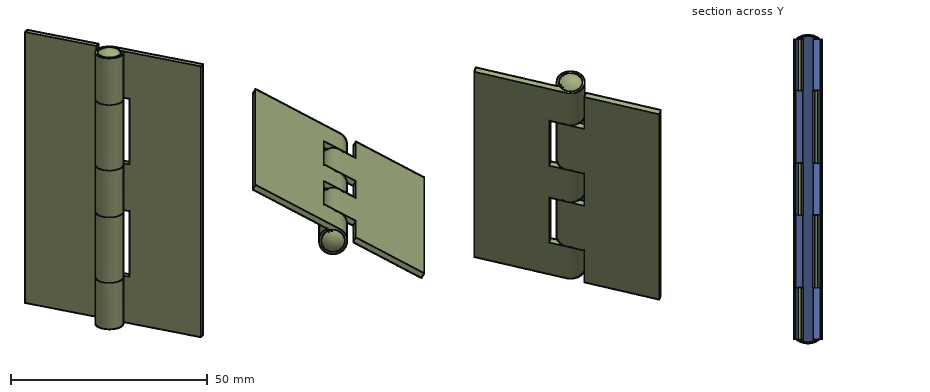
import cadquery as cq
import math

hinge_width = 49.0
leaf_height = 76.2
leaf_thickness = 1.5
knuckle_radius = 3.6
bore_radius = knuckle_radius - leaf_thickness
leaf_edge = 4.6
curl_end_angle = 35

outer_knuckle_height = 13.1
middle_knuckle_height = 13.2
left_knuckle_height = (leaf_height - 2 * outer_knuckle_height - middle_knuckle_height) / 2

hinge_height = 78.4
head_radius = 3.0
dome_height = (hinge_height - leaf_height) / 2

half_height = leaf_height / 2
half_middle = middle_knuckle_height / 2
outer_start = half_height - outer_knuckle_height
right_knuckles = [
    (-half_height, outer_knuckle_height),
    (-half_middle, middle_knuckle_height),
    (outer_start, outer_knuckle_height),
]
left_knuckles = [
    (-outer_start, left_knuckle_height),
    (half_middle, left_knuckle_height),
]


def make_curl(bottom, height):
    """Strip leaving the right leaf edge and curling counterclockwise around the pin."""
    end_x = math.cos(math.radians(curl_end_angle))
    end_y = math.sin(math.radians(curl_end_angle))
    return (
        cq.Workplane("XY", origin=(0, 0, bottom))
        .moveTo(leaf_edge, knuckle_radius)
        .lineTo(0, knuckle_radius)
        .threePointArc((-knuckle_radius, 0), (0, -knuckle_radius))
        .threePointArc((knuckle_radius, 0), (knuckle_radius * end_x, knuckle_radius * end_y))
        .lineTo(bore_radius * end_x, bore_radius * end_y)
        .threePointArc((0, -bore_radius), (-bore_radius, 0))
        .threePointArc(
            (-bore_radius * math.sqrt(0.5), bore_radius * math.sqrt(0.5)), (0, bore_radius)
        )
        .lineTo(leaf_edge, bore_radius)
        .close()
        .extrude(height)
    )


def make_leaf(knuckles):
    """Leaf on the +X side with one curl for each (bottom, height) pair."""
    leaf = cq.Workplane("XY").box(
        hinge_width / 2 - leaf_edge, leaf_thickness, leaf_height, centered=(False, False, True)
    ).translate((leaf_edge, bore_radius, 0))
    for bottom, height in knuckles:
        leaf = leaf.union(make_curl(bottom, height))
    return leaf


def make_pin():
    """Shaft filling the knuckle bores, with a spherical cap resting on each end."""
    cap_radius = (head_radius**2 + dome_height**2) / (2 * dome_height)
    cap_center = half_height + dome_height - cap_radius
    mid_angle = math.asin(head_radius / cap_radius) / 2
    mid_r = cap_radius * math.sin(mid_angle)
    mid_z = cap_center + cap_radius * math.cos(mid_angle)
    return (
        cq.Workplane("XZ")
        .moveTo(0, -hinge_height / 2)
        .threePointArc((mid_r, -mid_z), (head_radius, -half_height))
        .lineTo(bore_radius, -half_height)
        .lineTo(bore_radius, half_height)
        .lineTo(head_radius, half_height)
        .threePointArc((mid_r, mid_z), (0, hinge_height / 2))
        .close()
        .revolve(360, (0, 0), (0, 1))
    )


right_leaf = make_leaf(right_knuckles)
left_leaf = make_leaf(left_knuckles).mirror("YZ")
pin = make_pin()

result = cq.Compound.makeCompound([right_leaf.val(), left_leaf.val(), pin.val()])